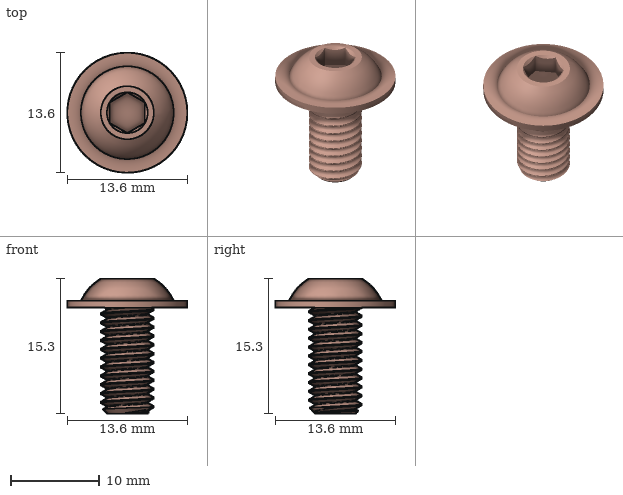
import cadquery as cq
import math


collar_diameter = 13.6
collar_thickness = 0.8
head_height = 3.3
dome_base_diameter = 10.5
dome_top_diameter = 6.0

socket_across_flats = 4.0
socket_depth = 2.33
socket_across_corners = socket_across_flats / math.cos(math.radians(30))

thread_diameter = 6.0
thread_pitch = 1.0
shank_length = 12.0
tip_diameter = 4.5

flank_angle = math.radians(30)
sharp_height = thread_pitch / (2 * math.tan(flank_angle))
thread_depth = 0.75 * sharp_height
crest_width = thread_pitch / 8
first_crest_z = -0.2

flank_steps = 4

cutter_overreach = 0.5


def make_head():
    """Flat collar carrying a spherical dome with a flat top."""
    base_radius = dome_base_diameter / 2
    top_radius = dome_top_diameter / 2
    dome_height = head_height - collar_thickness
    center_height = (dome_height**2 + top_radius**2 - base_radius**2) / (2 * dome_height)
    sphere_radius = math.hypot(base_radius, center_height)
    base_angle = math.atan2(-center_height, base_radius)
    top_angle = math.atan2(dome_height - center_height, top_radius)
    middle_angle = (base_angle + top_angle) / 2
    arc_middle = (
        sphere_radius * math.cos(middle_angle),
        collar_thickness + center_height + sphere_radius * math.sin(middle_angle),
    )
    profile = (
        cq.Workplane("XZ")
        .lineTo(collar_diameter / 2, 0)
        .lineTo(collar_diameter / 2, collar_thickness)
        .lineTo(base_radius, collar_thickness)
        .threePointArc(arc_middle, (top_radius, head_height))
        .lineTo(0, head_height)
        .close()
    )
    return profile.revolve(360, (0, 0, 0), (0, 1, 0))


def make_socket():
    """Hexagonal recess with a 45 degree countersink as wide as its corners."""
    hexagon = (
        cq.Workplane("XY", origin=(0, 0, head_height - socket_depth))
        .transformed(rotate=(0, 0, 90))
        .polygon(6, socket_across_corners)
        .extrude(socket_depth)
    )
    mouth_radius = socket_across_corners / 2
    inner_radius = mouth_radius / 2
    countersink_depth = mouth_radius - inner_radius
    countersink = (
        cq.Workplane("XZ")
        .moveTo(0, head_height)
        .lineTo(mouth_radius, head_height)
        .lineTo(inner_radius, head_height - countersink_depth)
        .lineTo(0, head_height - countersink_depth)
        .close()
        .revolve(360, (0, 0, 0), (0, 1, 0))
    )
    return hexagon.union(countersink)


def polar_point(radius, angle):
    """X and Y of the point at this radius and angle about the screw axis."""
    return (radius * math.cos(angle), radius * math.sin(angle))


def make_threaded_rod():
    """Right-handed thread made by twisting its cross-section along the axis.

    One pitch of the axial thread form spreads over one turn of the section:
    crest and root become arcs, and the straight flanks become spirals.
    """
    crest_radius = thread_diameter / 2
    root_radius = crest_radius - thread_depth
    root_width = thread_pitch - crest_width - 2 * thread_depth * math.tan(flank_angle)
    crest_half_angle = math.pi * crest_width / thread_pitch
    root_start_angle = math.pi * (1 - root_width / thread_pitch)

    def flank_point(step, side):
        fraction = step / flank_steps
        radius = crest_radius - fraction * thread_depth
        angle = crest_half_angle + fraction * (root_start_angle - crest_half_angle)
        return polar_point(radius, side * angle)

    left_flank = [flank_point(step, 1) for step in range(1, flank_steps + 1)]
    right_flank = [flank_point(step, -1) for step in reversed(range(flank_steps))]
    section = (
        cq.Workplane("XY", origin=(0, 0, -shank_length))
        .moveTo(*polar_point(crest_radius, -crest_half_angle))
        .threePointArc((crest_radius, 0), polar_point(crest_radius, crest_half_angle))
        .spline(left_flank, includeCurrent=True)
        .threePointArc((-root_radius, 0), polar_point(root_radius, -root_start_angle))
        .spline(right_flank, includeCurrent=True)
        .close()
    )
    degrees_per_length = 360 / thread_pitch
    rod = section.twistExtrude(shank_length, shank_length * degrees_per_length)
    crest_angle_at_tip = (-shank_length - first_crest_z) * degrees_per_length
    return rod.rotate((0, 0, 0), (0, 0, 1), crest_angle_at_tip)


def make_tip_chamfer_cutter():
    """Ring of triangular section that leaves a 45 degree cone at the tip."""
    tip_radius = tip_diameter / 2
    cutter_size = thread_diameter / 2 + cutter_overreach - tip_radius
    return (
        cq.Workplane("XZ")
        .moveTo(tip_radius, -shank_length)
        .lineTo(tip_radius + cutter_size, -shank_length)
        .lineTo(tip_radius + cutter_size, -shank_length + cutter_size)
        .close()
        .revolve(360, (0, 0, 0), (0, 1, 0))
    )


head = make_head().cut(make_socket())
shank = make_threaded_rod().cut(make_tip_chamfer_cutter())
result = head.union(shank)